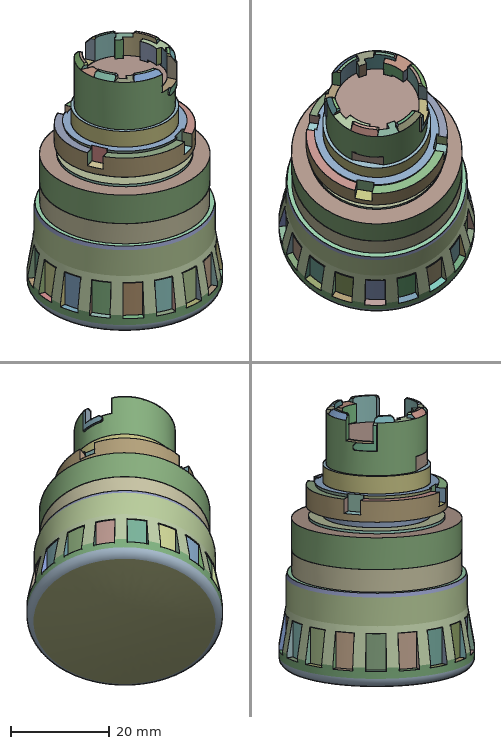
import cadquery as cq
import math

dome_edge_z = 1.8
rim_top_z = 3.7
cone_bottom_z = 6.0
cone_top_z = 14.4
skirt_chamfer_z = 20.4
skirt_top_z = 21.3
body_joint_z = 26.0
body_top_z = 32.7
flange_top_z = 33.3
nut_bottom_z = 35.25
nut_top_z = 39.7
collar_top_z = 40.35
neck_top_z = 44.0
tube_top_z = 55.1
total_height = 56.2

cap_radius = 39.9 / 2
rim_radius = 18.55
skirt_radius = 37.0 / 2
skirt_chamfer = 0.2
lower_body_radius = 34.7 / 2
upper_body_radius = 34.8 / 2
flange_radius = 27.8 / 2
nut_radius = 28.8 / 2
collar_top_radius = 12.7
collar_bottom_radius = 12.5
neck_radius = 22.0 / 2
tube_radius = 20.65 / 2
bore_radius = 8.65
wall_mid_radius = (bore_radius + tube_radius) / 2

groove_count = 18
groove_angle = 12.4
groove_bottom_z = 5.3
groove_top_z = 12.95
groove_floor_radius = 18.55

notch_count = 4
notch_width = 3.55
notch_floor_z = 36.7
notch_wall_distance = 12.1

slot_width = 6.05
slot_floor_z = 50.8
socket_floor_z = 50.7

key_pair_count = 2
key_radius = 14.9 / 2
narrow_key_angle = 123.5
narrow_key_width = 1.7
wide_key_start = 54.5
wide_key_end = 90.0
undercut_end = 76.4
undercut_height = 0.5
undercut_overrun = 1.0

prong_tip_radius = 9.3
prong_chamfer = 0.35
back_prong_left = -2.1
back_prong_right = 3.5
front_prong_half_width = 2.3
front_side_prong_angle = 54.2
back_right_prong_angle = 41.5
back_left_prong_angle = 127.0

lug_radius = 10.7
lug_bottom_z = 49.2
lug_top_z = 55.05
lug_back_y = 3.7
lug_tip_y = -1.25
lug_tip_chamfer = 0.7

flat_distance = 9.8
flat_top_z = 47.1

clearance = 0.55


def sector(inner_radius, outer_radius, bottom_z, top_z, start_angle, end_angle):
    """Block of a ring between two angles, in degrees from +X."""
    return (
        cq.Workplane("XZ")
        .moveTo(inner_radius, bottom_z)
        .lineTo(outer_radius, bottom_z)
        .lineTo(outer_radius, top_z)
        .lineTo(inner_radius, top_z)
        .close()
        .revolve(end_angle - start_angle, (0, 0, 0), (0, 1, 0))
        .rotate((0, 0, 0), (0, 0, 1), start_angle)
    )


def block(x_range, y_range, z_range):
    """Box given by its limits along the three axes."""
    corner = (x_range[0], y_range[0], z_range[0])
    size = (x_range[1] - x_range[0], y_range[1] - y_range[0], z_range[1] - z_range[0])
    return cq.Workplane("XY").box(*size, centered=False).translate(corner)


def polar_copies(shape, count):
    """Copies of a shape spaced evenly about Z, joined."""
    copies = cq.Workplane("XY")
    for index in range(count):
        copies = copies.add(shape.rotate((0, 0, 0), (0, 0, 1), index * 360 / count))
    return copies.combine()


def turned_body():
    """Cap, body, nut, neck and open tube, turned about Z."""
    dome_radius = (rim_radius**2 + dome_edge_z**2) / (2 * dome_edge_z)
    dome_mid_x = rim_radius / 2
    dome_mid_z = dome_radius - math.sqrt(dome_radius**2 - dome_mid_x**2)

    rim_width = cap_radius - rim_radius
    rim_height = rim_top_z - dome_edge_z
    rim_arc_radius = (rim_width**2 + rim_height**2) / (2 * rim_width)
    half_sweep = math.asin(rim_height / rim_arc_radius) / 2
    rim_mid_x = cap_radius - rim_arc_radius * (1 - math.cos(half_sweep))
    rim_mid_z = rim_top_z - rim_arc_radius * math.sin(half_sweep)

    steps = [
        (cap_radius, cone_bottom_z),
        (skirt_radius, cone_top_z),
        (skirt_radius, skirt_chamfer_z),
        (skirt_radius - skirt_chamfer, skirt_top_z),
        (lower_body_radius, skirt_top_z),
        (lower_body_radius, body_joint_z),
        (upper_body_radius, body_joint_z),
        (upper_body_radius, body_top_z),
        (flange_radius, body_top_z),
        (flange_radius, flange_top_z),
        (neck_radius, flange_top_z),
        (neck_radius, nut_bottom_z),
        (nut_radius, nut_bottom_z),
        (nut_radius, nut_top_z),
        (collar_bottom_radius, nut_top_z),
        (collar_top_radius, collar_top_z),
        (neck_radius, collar_top_z),
        (neck_radius, neck_top_z),
        (tube_radius, neck_top_z),
        (tube_radius, tube_top_z),
        (bore_radius, tube_top_z),
        (bore_radius, socket_floor_z),
        (0, socket_floor_z),
    ]
    profile = (
        cq.Workplane("XZ")
        .threePointArc((dome_mid_x, dome_mid_z), (rim_radius, dome_edge_z))
        .threePointArc((rim_mid_x, rim_mid_z), (cap_radius, rim_top_z))
    )
    for radius, height in steps:
        profile = profile.lineTo(radius, height)
    return profile.close().revolve(360, (0, 0, 0), (0, 1, 0))


def grip_grooves():
    """Shallow grooves with radial walls around the cone of the cap."""
    groove = sector(
        groove_floor_radius, cap_radius + clearance,
        groove_bottom_z, groove_top_z,
        -groove_angle / 2, groove_angle / 2,
    )
    return polar_copies(groove, groove_count)


def nut_notches():
    """Square spanner notches through the collar into the nut."""
    notch = block(
        (notch_wall_distance, nut_radius + clearance),
        (-notch_width / 2, notch_width / 2),
        (notch_floor_z, collar_top_z + clearance),
    )
    return polar_copies(notch, notch_count)


def socket_keys():
    """One narrow and one wide key inside the bore, repeated half a turn away."""
    narrow_key = block(
        (key_radius, wall_mid_radius),
        (-narrow_key_width / 2, narrow_key_width / 2),
        (socket_floor_z, tube_top_z),
    ).rotate((0, 0, 0), (0, 0, 1), narrow_key_angle)
    wide_key = sector(
        key_radius, wall_mid_radius,
        socket_floor_z, tube_top_z,
        wide_key_start, wide_key_end,
    )
    undercut = sector(
        key_radius - clearance, bore_radius,
        socket_floor_z, socket_floor_z + undercut_height,
        wide_key_start - undercut_overrun, undercut_end,
    )
    keys = narrow_key.add(wide_key.cut(undercut)).combine()
    return polar_copies(keys, key_pair_count)


def cross_slot():
    """Slot along X through both walls of the tube."""
    reach = lug_radius + clearance
    return block(
        (-reach, reach),
        (-slot_width / 2, slot_width / 2),
        (slot_floor_z, total_height + clearance),
    )


def prongs():
    """Six prongs on the tube rim with a conical outside and chamfered ends."""
    crown = (
        cq.Workplane("XZ")
        .moveTo(bore_radius, tube_top_z)
        .lineTo(tube_radius, tube_top_z)
        .lineTo(prong_tip_radius, total_height)
        .lineTo(bore_radius, total_height)
        .close()
        .revolve(360, (0, 0, 0), (0, 1, 0))
        .cut(cross_slot())
    )
    heights = (tube_top_z, total_height)
    spans = [
        block((back_prong_left, back_prong_right), (0, tube_radius), heights),
        block((-front_prong_half_width, front_prong_half_width), (-tube_radius, 0), heights),
    ]
    side_spans = [
        (0, back_right_prong_angle),
        (back_left_prong_angle, 180),
        (180, 180 + front_side_prong_angle),
        (360 - front_side_prong_angle, 360),
    ]
    for start_angle, end_angle in side_spans:
        spans.append(sector(key_radius, tube_radius, *heights, start_angle, end_angle))

    group = cq.Workplane("XY")
    for span in spans:
        prong = crown.intersect(span)
        group = group.add(prong.faces(">Z").edges("%LINE").chamfer(prong_chamfer))
    return group


def bayonet_lugs():
    """L-shaped lugs on the -X and +X flanks; their tops slope like the prongs."""
    slot_edge_y = slot_width / 2
    outline = (
        cq.Workplane("YZ")
        .moveTo(lug_back_y, lug_bottom_z)
        .lineTo(lug_back_y, lug_top_z)
        .lineTo(slot_edge_y, lug_top_z)
        .lineTo(slot_edge_y, slot_floor_z)
        .lineTo(lug_tip_y + lug_tip_chamfer, slot_floor_z)
        .lineTo(lug_tip_y, slot_floor_z - lug_tip_chamfer)
        .lineTo(lug_tip_y, lug_bottom_z + lug_tip_chamfer / 2)
        .lineTo(lug_tip_y + lug_tip_chamfer / 2, lug_bottom_z)
        .close()
        .extrude(lug_radius, both=True)
    )
    prong_slope = (tube_radius - prong_tip_radius) / (total_height - tube_top_z)
    bevel_height = (lug_radius - tube_radius) / prong_slope
    shell = (
        cq.Workplane("XZ")
        .moveTo(wall_mid_radius, lug_bottom_z)
        .lineTo(lug_radius, lug_bottom_z)
        .lineTo(lug_radius, lug_top_z - bevel_height)
        .lineTo(tube_radius, lug_top_z)
        .lineTo(wall_mid_radius, lug_top_z)
        .close()
        .revolve(360, (0, 0, 0), (0, 1, 0))
    )
    return outline.intersect(shell)


def back_flat():
    """Cutter for the flat at the back of the tube."""
    return block(
        (-tube_radius, tube_radius),
        (flat_distance, tube_radius + clearance),
        (neck_top_z, flat_top_z),
    )


result = turned_body().cut(grip_grooves()).cut(nut_notches()).cut(back_flat())
result = result.union(socket_keys()).cut(cross_slot())
for prong in prongs().vals():
    result = result.union(cq.Workplane(prong))
result = result.union(bayonet_lugs())